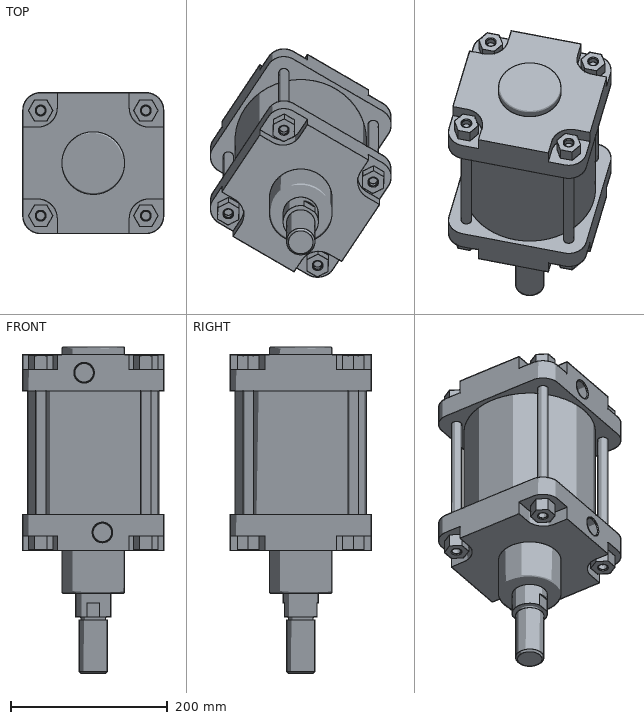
import cadquery as cq
import math

THREAD_LENGTH = 68.5
NECK_LENGTH = 3.8
FLATS_LENGTH = 18.0
COLLAR_LENGTH = 12.0
LOWER_BOSS_LENGTH = 54.5
CAP_HEIGHT = 46.3
BARREL_LENGTH = 157.5
UPPER_BOSS_LENGTH = 10.0

CAP_WIDTH = 180.0
CAP_CORNER_RADIUS = 23.0
BOSS_DIAMETER = 80.0
BOSS_EDGE_RADIUS = 2.5
POCKET_REACH = 21.3
POCKET_DEPTH = 18.8
POCKET_CORNER_RADIUS = 25.0

PORT_DIAMETER = 23.8
PORT_CHAMFER = 1.3
PORT_DEPTH = 41.5
PORT_OFFSET = 11.5

BARREL_DIAMETER = 168.0

TIE_ROD_DIAMETER = 13.5
NUT_SIDES = 6
NUT_ACROSS_FLATS = 27.0
NUT_HEIGHT = 17.5
NUT_HOLE_DIAMETER = 11.3
NUT_HOLE_DEPTH = 8.8
NUT_HOLE_CHAMFER = 1.3
COUNTERSINK_ANGLE = 90

COLLAR_DIAMETER = 45.0
FLATS_WIDTH = 42.0
NECK_DIAMETER = 31.5
NECK_ROOT_RADIUS = 1.3
THREAD_DIAMETER = 36.3
THREAD_CHAMFER = 2.5

HALF_TURN = 180
FULL_TURN = 360

ROD_TOP = THREAD_LENGTH + NECK_LENGTH + FLATS_LENGTH + COLLAR_LENGTH
LOWER_CAP_BOTTOM = ROD_TOP + LOWER_BOSS_LENGTH
BARREL_BOTTOM = LOWER_CAP_BOTTOM + CAP_HEIGHT
BARREL_TOP = BARREL_BOTTOM + BARREL_LENGTH

TIE_ROD_OFFSET = CAP_WIDTH / 2 - CAP_CORNER_RADIUS
TIE_ROD_POINTS = [(sx * TIE_ROD_OFFSET, sy * TIE_ROD_OFFSET) for sx in (-1, 1) for sy in (-1, 1)]


def cylinder(diameter, bottom, height):
    """Upright cylinder on the Z axis."""
    return cq.Workplane("XY", origin=(0, 0, bottom)).circle(diameter / 2).extrude(height)


def corner_pocket(x, y):
    """Cutter that opens one cap corner and reaches past the tie rod axis with a rounded inner corner."""
    size = CAP_WIDTH / 2
    center_shift = size / 2 - POCKET_REACH
    return (
        cq.Workplane("XY", origin=(0, 0, CAP_HEIGHT - POCKET_DEPTH))
        .center(x + math.copysign(center_shift, x), y + math.copysign(center_shift, y))
        .rect(size, size)
        .extrude(POCKET_DEPTH)
        .edges("|Z")
        .fillet(POCKET_CORNER_RADIUS)
    )


def air_port(port_x):
    """Cutter for a chamfered blind port, entering from the -Y side at mid height of the cap."""
    mouth = cq.Workplane("XZ", origin=(port_x, -CAP_WIDTH / 2, CAP_HEIGHT / 2))
    bore = mouth.circle(PORT_DIAMETER / 2).extrude(-PORT_DEPTH)
    countersink = (
        mouth.circle(PORT_DIAMETER / 2 + PORT_CHAMFER)
        .workplane(offset=-PORT_CHAMFER)
        .circle(PORT_DIAMETER / 2)
        .loft()
    )
    return bore.union(countersink)


def make_cap(boss_length, port_x):
    """End cap standing on Z = 0, with its boss on top."""
    cap = (
        cq.Workplane("XY")
        .rect(CAP_WIDTH, CAP_WIDTH)
        .extrude(CAP_HEIGHT)
        .edges("|Z")
        .fillet(CAP_CORNER_RADIUS)
    )
    boss = cylinder(BOSS_DIAMETER, CAP_HEIGHT, boss_length).faces(">Z").edges().fillet(BOSS_EDGE_RADIUS)
    cap = cap.union(boss)
    for x, y in TIE_ROD_POINTS:
        cap = cap.cut(corner_pocket(x, y))
    tie_rod_holes = (
        cq.Workplane("XY")
        .pushPoints(TIE_ROD_POINTS)
        .circle(TIE_ROD_DIAMETER / 2)
        .extrude(CAP_HEIGHT)
    )
    return cap.cut(tie_rod_holes).cut(air_port(port_x))


def make_piston_rod():
    """Threaded rod end, neck with a filleted root, and collar with two wrench flats on its lower part."""
    thread_radius = THREAD_DIAMETER / 2
    neck_radius = NECK_DIAMETER / 2
    collar_radius = COLLAR_DIAMETER / 2
    collar_bottom = THREAD_LENGTH + NECK_LENGTH
    half_outline = (
        cq.Workplane("XZ")
        .lineTo(thread_radius - THREAD_CHAMFER, 0)
        .lineTo(thread_radius, THREAD_CHAMFER)
        .lineTo(thread_radius, THREAD_LENGTH)
        .lineTo(neck_radius, THREAD_LENGTH)
        .lineTo(neck_radius, collar_bottom - NECK_ROOT_RADIUS)
        .radiusArc((neck_radius + NECK_ROOT_RADIUS, collar_bottom), NECK_ROOT_RADIUS)
        .lineTo(collar_radius, collar_bottom)
        .lineTo(collar_radius, ROD_TOP)
        .lineTo(0, ROD_TOP)
        .close()
    )
    rod = half_outline.revolve(FULL_TURN, (0, 0), (0, 1))
    flats_cutter = (
        cq.Workplane("XY", origin=(0, 0, collar_bottom))
        .rect(2 * COLLAR_DIAMETER, 2 * COLLAR_DIAMETER)
        .rect(COLLAR_DIAMETER, FLATS_WIDTH)
        .extrude(FLATS_LENGTH)
    )
    return rod.cut(flats_cutter)


def make_nut():
    """Hexagonal nut standing on Z = 0, with a chamfered blind hole in its top."""
    mouth_diameter = NUT_HOLE_DIAMETER + 2 * NUT_HOLE_CHAMFER
    across_corners = NUT_ACROSS_FLATS / math.cos(math.pi / NUT_SIDES)
    return (
        cq.Workplane("XY")
        .polygon(NUT_SIDES, across_corners)
        .extrude(NUT_HEIGHT)
        .faces(">Z")
        .workplane()
        .cskHole(NUT_HOLE_DIAMETER, mouth_diameter, COUNTERSINK_ANGLE, NUT_HOLE_DEPTH)
    )


def make_tie_rod(x, y):
    """Tie rod through both caps, with a nut seated in the corner pocket at each end."""
    lower_seat = LOWER_CAP_BOTTOM + POCKET_DEPTH
    upper_seat = BARREL_TOP + CAP_HEIGHT - POCKET_DEPTH
    shank = cylinder(TIE_ROD_DIAMETER, lower_seat, upper_seat - lower_seat)
    upper_nut = make_nut().translate((0, 0, upper_seat))
    lower_nut = make_nut().rotate((0, 0, 0), (1, 0, 0), HALF_TURN).translate((0, 0, lower_seat))
    return shank.union(upper_nut).union(lower_nut).translate((x, y, 0))


upper_cap = make_cap(UPPER_BOSS_LENGTH, -PORT_OFFSET).translate((0, 0, BARREL_TOP))

lower_cap = make_cap(LOWER_BOSS_LENGTH, -PORT_OFFSET).rotate((0, 0, 0), (0, 1, 0), HALF_TURN)
lower_cap = lower_cap.translate((0, 0, BARREL_BOTTOM))

barrel = cylinder(BARREL_DIAMETER, BARREL_BOTTOM, BARREL_LENGTH)
piston_rod = make_piston_rod()
tie_rods = [make_tie_rod(x, y) for x, y in TIE_ROD_POINTS]

result = cq.Compound.makeCompound(
    [
        upper_cap.val(),
        lower_cap.val(),
        barrel.val(),
        piston_rod.val(),
        *[tie_rod.val() for tie_rod in tie_rods],
    ]
)